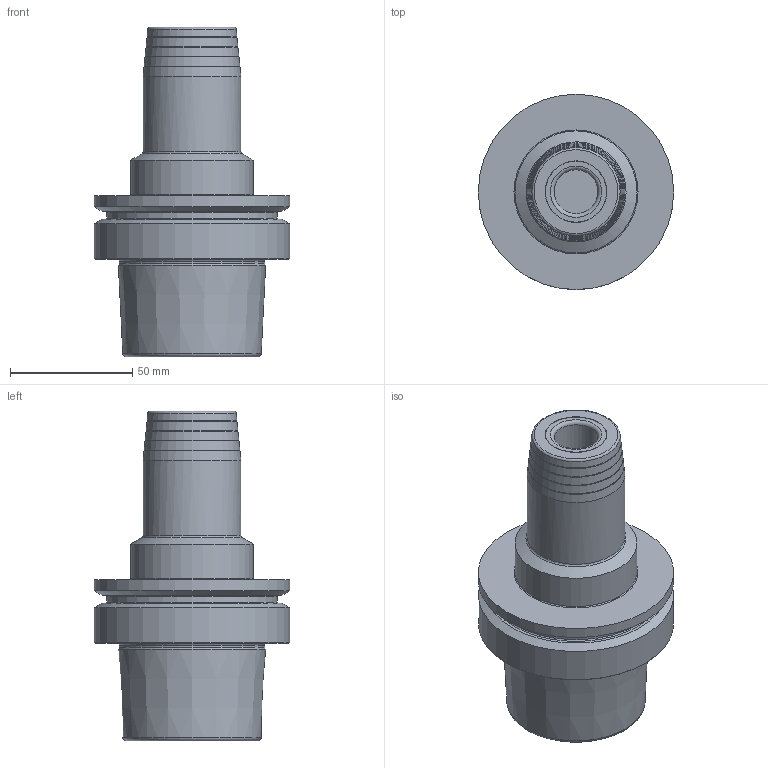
import cadquery as cq
import math


flange_radius = 40.0
flange_height = 26.0
flange_bottom_chamfer = 0.3
groove_centre_z = 18.0
groove_mouth_width = 7.0
groove_neck_width = 3.25
groove_floor_fillet = 0.5
groove_floor_radius = 35.0
groove_wall_angle = 30.0

collar_radius = 25.0
collar_top_z = 40.6
shoulder_angle = 30.0
collar_base_fillet = 0.4
sleeve_radius = 20.0
shoulder_fillet = 1.0
nose_top_z = 95.0
nose_band_height = 4.0
nose_band_count = 5
nose_tip_radius = 18.0
nose_tip_fillet = 0.9
band_groove_width = 0.25
band_groove_depth = 0.1

bore_radius = 9.0
bore_depth = 50.0
bore_mouth_fillet = 1.5
ring_gap_radius = 12.5
ring_gap_width = 0.1
ring_gap_depth = 0.2

taper_large_radius = 30.15
taper_top_z = -2.4
taper_ratio = 9.98
taper_slope = 1 / (2 * taper_ratio)
shank_bottom_z = -39.9
shank_bottom_fillet = 1.4
relief_radius = 29.7
relief_top_z = -0.8
relief_bottom_z = -1.6


def revolve_profile(points):
    """Solid of revolution about Z from (radius, z) points."""
    return cq.Workplane("XZ").polyline(points).close().revolve(360, (0, 0, 0), (0, 1, 0))


def fillet_circle(body, radius, z, size):
    """Round the circular edge of the given radius at height z."""
    reach = 0.05
    outer = radius + reach
    low_corner = (-outer, -outer, z - reach)
    high_corner = (outer, outer, z + reach)
    box = cq.selectors.BoxSelector(low_corner, high_corner, boundingbox=True)
    edges = body.edges(box).edges(cq.selectors.RadiusNthSelector(-1))
    return edges.fillet(size)


def make_shank():
    """Taper shank with a rounded end and a relief neck below the flange."""
    bottom_radius = taper_large_radius - (taper_top_z - shank_bottom_z) * taper_slope
    shank = revolve_profile([
        (0, shank_bottom_z),
        (bottom_radius, shank_bottom_z),
        (taper_large_radius, taper_top_z),
        (relief_radius, relief_bottom_z),
        (relief_radius, relief_top_z),
        (taper_large_radius, 0),
        (0, 0),
    ])
    return shank.faces("<Z").edges().fillet(shank_bottom_fillet)


def make_flange():
    """Flange disc with a symmetric V groove that ends in a straight-sided neck."""
    half_mouth = groove_mouth_width / 2
    half_neck = groove_neck_width / 2
    neck_radius = flange_radius - (half_mouth - half_neck) / math.tan(math.radians(groove_wall_angle))
    disc = cq.Workplane("XY").circle(flange_radius).extrude(flange_height)
    disc = disc.faces("<Z").edges().chamfer(flange_bottom_chamfer)
    groove = revolve_profile([
        (flange_radius, groove_centre_z - half_mouth),
        (neck_radius, groove_centre_z - half_neck),
        (groove_floor_radius, groove_centre_z - half_neck),
        (groove_floor_radius, groove_centre_z + half_neck),
        (neck_radius, groove_centre_z + half_neck),
        (flange_radius, groove_centre_z + half_mouth),
    ])
    for corner_z in (groove_centre_z - half_neck, groove_centre_z + half_neck):
        groove = fillet_circle(groove, groove_floor_radius, corner_z, groove_floor_fillet)
    return disc.cut(groove)


def make_band_groove(floor_radius, centre_z):
    """Square ring that cuts one fine groove between two bands of the tip."""
    ring = cq.Workplane("XY").workplane(offset=centre_z - band_groove_width / 2)
    return ring.circle(sleeve_radius).circle(floor_radius).extrude(band_groove_width)


def make_nose():
    """Collar, conical shoulder, straight sleeve and the banded, tapering tip."""
    shoulder_rise = (collar_radius - sleeve_radius) * math.tan(math.radians(shoulder_angle))
    shoulder_top_z = collar_top_z + shoulder_rise
    tip_start_z = nose_top_z - nose_band_height * nose_band_count
    nose = revolve_profile([
        (0, flange_height),
        (collar_radius, flange_height),
        (collar_radius, collar_top_z),
        (sleeve_radius, shoulder_top_z),
        (sleeve_radius, tip_start_z),
        (nose_tip_radius, nose_top_z),
        (0, nose_top_z),
    ])
    nose = nose.faces(">Z").edges().fillet(nose_tip_fillet)
    nose = fillet_circle(nose, sleeve_radius, shoulder_top_z, shoulder_fillet)
    tip_slope = (sleeve_radius - nose_tip_radius) / (nose_top_z - tip_start_z)
    for band in range(1, nose_band_count):
        rise = nose_band_height * band
        floor_radius = sleeve_radius - tip_slope * rise - band_groove_depth
        nose = nose.cut(make_band_groove(floor_radius, tip_start_z + rise))
    return nose


def cut_bore(body):
    """Blind bore with a rounded mouth, ringed by a fine gap."""
    top = cq.Workplane("XY").workplane(offset=nose_top_z)
    gap = top.circle(ring_gap_radius + ring_gap_width).circle(ring_gap_radius).extrude(-ring_gap_depth)
    bore = top.circle(bore_radius).extrude(-bore_depth)
    body = body.cut(gap).cut(bore)
    return fillet_circle(body, bore_radius, nose_top_z, bore_mouth_fillet)


body = make_shank().union(make_flange()).union(make_nose())
body = fillet_circle(body, collar_radius, flange_height, collar_base_fillet)
result = cut_bore(body)